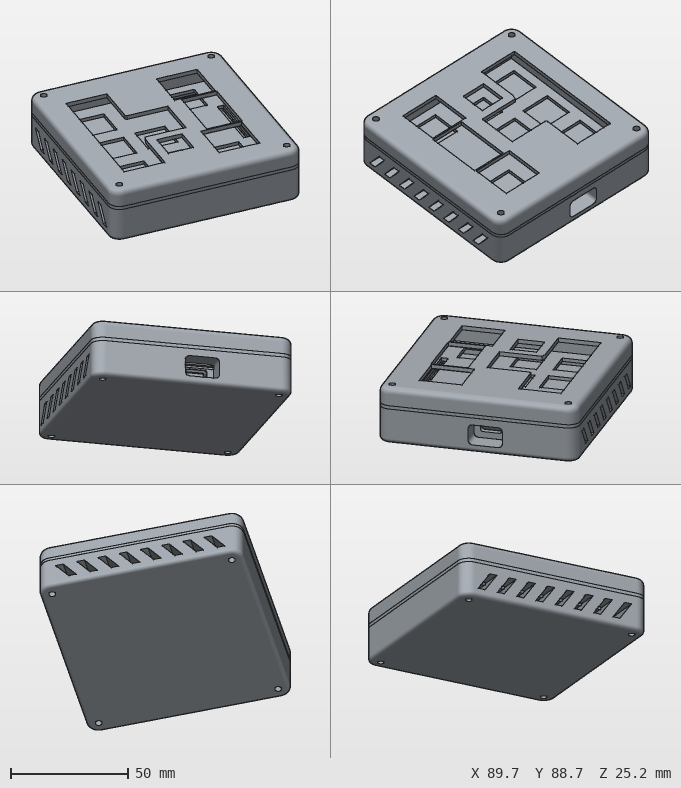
import cadquery as cq

LENGTH = 89.65
WIDTH = 88.7
HEIGHT = 25.2
CORNER_RADIUS = 5.2
TOP_ROUND = 2.7
BOTTOM_ROUND = 1.8

PLATE_BOTTOM = 15.7
PLATE_TOP = 17.2
COVER_SKIN = 1.9

SCREW_DIAMETER = 2.9
SCREW_X = LENGTH / 2 - CORNER_RADIUS
SCREW_Y = WIDTH / 2 - CORNER_RADIUS

CAVITY_X = 0.5
CAVITY_LENGTH = 69.2
CAVITY_WIDTH = 69.75
BOARD_CLEARANCE = 0.2
BOARD_BOTTOM = 10.6
BOARD_THICKNESS = 1.2

CELL = 19.0
SWITCH_HOLE = 14.0
TOP_KEYS = [(-22.8, 19.8), (23.85, 19.8)]
UP_KEY = (-0.5, -3.85)
ROW_Y = -23.6
ROW_KEYS_X = [-20.3, 0.5, 21.7]
SWITCHES = TOP_KEYS + [UP_KEY] + [(x, ROW_Y) for x in ROW_KEYS_X]

ARM_LEFT_FLARE = 0.5
ARM_RIGHT_FLARE = 2.3

WINDOW_SIZE = (26.4, 16.5)
WINDOW_CENTER = (0.5, 21.5)
PIN_SLOT_SIZE = (27.6, 3.0)
PIN_SLOT_CENTER = (0.9, 31.6)
KNOB_SIZE = (12.1, 11.7)
KNOB_CENTER = (19.0, -3.85)

VENT_COUNT = 8
VENT_SPAN = 65.5
VENT_PITCH = VENT_SPAN / (VENT_COUNT - 1)
VENT_WIDTH = 3.3
VENT_LEAN = 5.7
VENT_BOTTOM = 3.9
VENT_TOP = 11.7
FIRST_VENT_X = -36.8

PORT_Y = -3.7
RECESS_WIDTH = 15.2
RECESS_BOTTOM = 3.3
RECESS_TOP = 12.5
RECESS_ROUND = 2.1
RECESS_DEPTH = 9.1
SLOT_WIDTH = 9.4
SLOT_BOTTOM = 6.2
SLOT_TOP = 9.6
SLOT_ROUND = 1.1
SLOT_DEPTH = 14.25


def block(size, center, bottom, top):
    """Upright box with the given plan size and plan centre."""
    return (
        cq.Workplane("XY", origin=(center[0], center[1], bottom))
        .rect(*size)
        .extrude(top - bottom)
    )


def layer(bottom, top):
    """Slice of the enclosure with rounded corners."""
    return block((LENGTH, WIDTH), (0, 0), bottom, top).edges("|Z").fillet(CORNER_RADIUS)


def screw_holes():
    """Four screw shafts running through the full height."""
    return (
        cq.Workplane("XY")
        .rect(2 * SCREW_X, 2 * SCREW_Y, forConstruction=True)
        .vertices()
        .circle(SCREW_DIAMETER / 2)
        .extrude(HEIGHT)
    )


def cavity(bottom, top):
    return block((CAVITY_LENGTH, CAVITY_WIDTH), (CAVITY_X, 0), bottom, top)


def vent(left):
    """Leaning slot whose upper left corner is at X = left."""
    return (
        cq.Workplane("XZ", origin=(0, WIDTH / 2, 0))
        .polyline([
            (left, VENT_TOP),
            (left + VENT_WIDTH, VENT_TOP),
            (left + VENT_WIDTH + VENT_LEAN, VENT_BOTTOM),
            (left + VENT_LEAN, VENT_BOTTOM),
        ])
        .close()
        .extrude(WIDTH)
    )


def port_pocket(width, bottom, top, rounding, depth):
    """Rounded pocket sunk into the -X wall."""
    return (
        cq.Workplane("YZ", origin=(-LENGTH / 2, PORT_Y, (bottom + top) / 2))
        .rect(width, top - bottom)
        .extrude(depth)
        .edges("|X")
        .fillet(rounding)
    )


def make_base():
    base = layer(0, PLATE_BOTTOM).faces("<Z").edges().fillet(BOTTOM_ROUND)
    base = base.cut(cavity(BOARD_BOTTOM, PLATE_BOTTOM))
    for index in range(VENT_COUNT):
        base = base.cut(vent(FIRST_VENT_X + index * VENT_PITCH))
    base = base.cut(port_pocket(RECESS_WIDTH, RECESS_BOTTOM, RECESS_TOP, RECESS_ROUND, RECESS_DEPTH))
    base = base.cut(port_pocket(SLOT_WIDTH, SLOT_BOTTOM, SLOT_TOP, SLOT_ROUND, SLOT_DEPTH))
    return base.cut(screw_holes())


def make_board():
    """Plain circuit board lying on the cavity floor."""
    size = (CAVITY_LENGTH - 2 * BOARD_CLEARANCE, CAVITY_WIDTH - 2 * BOARD_CLEARANCE)
    return block(size, (CAVITY_X, 0), BOARD_BOTTOM, BOARD_BOTTOM + BOARD_THICKNESS)


def make_plate():
    """Switch plate clamped between base and cover."""
    plate = layer(PLATE_BOTTOM, PLATE_TOP)
    for center in SWITCHES:
        plate = plate.cut(block((SWITCH_HOLE, SWITCH_HOLE), center, PLATE_BOTTOM, PLATE_TOP))
    plate = plate.cut(block(PIN_SLOT_SIZE, PIN_SLOT_CENTER, PLATE_BOTTOM, PLATE_TOP))
    plate = plate.cut(block(KNOB_SIZE, KNOB_CENTER, PLATE_BOTTOM, PLATE_TOP))
    return plate.cut(screw_holes())


def arrow_opening():
    """Inverted T around the four arrow keys."""
    half = CELL / 2
    row_left = ROW_KEYS_X[0] - half
    row_right = ROW_KEYS_X[-1] + half
    row_top = ROW_Y + half
    arm_left = UP_KEY[0] - half
    arm_right = UP_KEY[0] + half
    arm_top = UP_KEY[1] + half
    arm_bottom = UP_KEY[1] - half
    return (
        cq.Workplane("XY", origin=(0, 0, PLATE_TOP))
        .polyline([
            (row_left, ROW_Y - half),
            (row_right, ROW_Y - half),
            (row_right, row_top),
            (arm_right + ARM_RIGHT_FLARE, row_top),
            (arm_right, arm_bottom),
            (arm_right, arm_top),
            (arm_left, arm_top),
            (arm_left, arm_bottom),
            (arm_left - ARM_LEFT_FLARE, row_top),
            (row_left, row_top),
        ])
        .close()
        .extrude(HEIGHT - PLATE_TOP)
    )


def make_cover():
    cover = layer(PLATE_TOP, HEIGHT).faces(">Z").edges().fillet(TOP_ROUND)
    cover = cover.cut(cavity(PLATE_TOP, HEIGHT - COVER_SKIN))
    for center in TOP_KEYS:
        cover = cover.cut(block((CELL, CELL), center, PLATE_TOP, HEIGHT))
    cover = cover.cut(arrow_opening())
    cover = cover.cut(block(WINDOW_SIZE, WINDOW_CENTER, PLATE_TOP, HEIGHT))
    cover = cover.cut(block(KNOB_SIZE, KNOB_CENTER, PLATE_TOP, HEIGHT))
    return cover.cut(screw_holes())


base = make_base()
board = make_board()
plate = make_plate()
cover = make_cover()

result = cq.Compound.makeCompound([base.val(), board.val(), plate.val(), cover.val()])